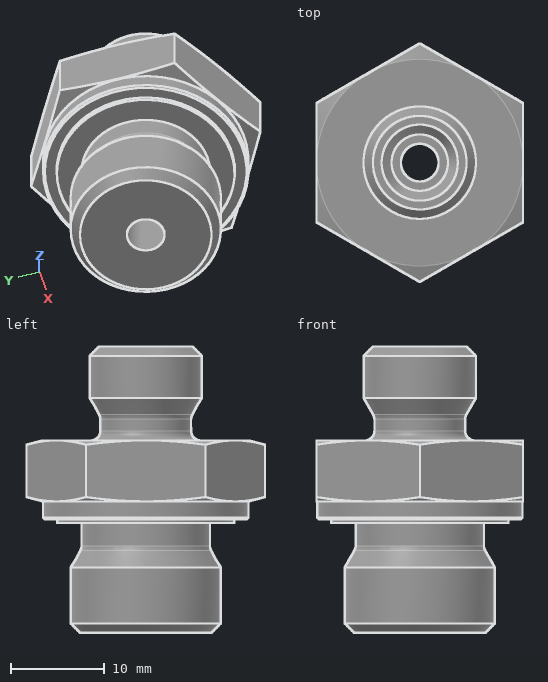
import cadquery as cq
import math

TOTAL_HEIGHT = 30.5
HEX_BOTTOM = 14.0
HEX_TOP = 20.5
COLLAR_BOTTOM = 12.08
SEAL_BOTTOM = 11.68
STUD_SHOULDER_Z = 6.98
PIPE_SHOULDER_Z = 25.0

STUD_RADIUS = 16.0 / 2
STUD_NECK_RADIUS = 13.7 / 2
PIPE_RADIUS = 12.0 / 2
PIPE_NECK_RADIUS = 9.7 / 2
COLLAR_RADIUS = 21.9 / 2
BORE_RADIUS = 4.0 / 2
CONE_MOUTH_RADIUS = 8.1 / 2
CONE_FLOOR_RADIUS = 6.0 / 2

HEX_FLATS = 22.02
HEX_CORNER_RADIUS = HEX_FLATS / 2 / math.cos(math.radians(30))
HEX_FACE_RADIUS = HEX_FLATS / 2
HEX_CHAMFER_ANGLE = 15.0

THREAD_CHAMFER = 1.0
COLLAR_CHAMFER = 0.2
NECK_FILLET = 1.0
SELECTION_MARGIN = 0.03
UNDERCUT_ANGLE = 30.0
SOCKET_ANGLE = 12.0

GROOVE_DEPTH = 1.3
GROOVE_RADIUS = 19.0 / 2
SEAL_OUTER_RADIUS = 18.9 / 2
SEAL_INNER_RADIUS = 13.8 / 2
GROOVE_FLOOR_Z = COLLAR_BOTTOM + GROOVE_DEPTH


def disc(radius, bottom, top):
    return cq.Workplane("XY").workplane(offset=bottom).circle(radius).extrude(top - bottom)


def tube(outer_radius, inner_radius, bottom, top):
    return disc(outer_radius, bottom, top).cut(disc(inner_radius, bottom, top))


def turned(points):
    """Revolve a closed (radius, height) outline about the Z axis."""
    return cq.Workplane("XZ").polyline(points).close().revolve(360, (0, 0, 0), (0, 1, 0))


def threaded_end(end_z, shoulder_z, root_z, radius, neck_radius):
    """Chamfered cylinder whose conical run-out blends into a neck reaching root_z."""
    inward = math.copysign(1, root_z - end_z)
    runout = (radius - neck_radius) / math.tan(math.radians(UNDERCUT_ANGLE))
    neck_z = shoulder_z + inward * runout
    end = turned([
        (0, end_z),
        (radius - THREAD_CHAMFER, end_z),
        (radius, end_z + inward * THREAD_CHAMFER),
        (radius, shoulder_z),
        (neck_radius, neck_z),
        (neck_radius, root_z),
        (0, root_z),
    ])
    neck_edge = cq.selectors.BoxSelector(
        (-radius, -radius, neck_z - SELECTION_MARGIN),
        (radius, radius, neck_z + SELECTION_MARGIN),
        boundingbox=True,
    )
    return end.edges(neck_edge).fillet(NECK_FILLET)


def make_hexagon():
    """Hexagon with flats facing +X and -X, its corners chamfered at both ends."""
    prism = (
        cq.Workplane("XY").workplane(offset=HEX_BOTTOM)
        .transformed(rotate=(0, 0, 30))
        .polygon(6, 2 * HEX_CORNER_RADIUS)
        .extrude(HEX_TOP - HEX_BOTTOM)
    )
    drop = (HEX_CORNER_RADIUS - HEX_FACE_RADIUS) * math.tan(math.radians(HEX_CHAMFER_ANGLE))
    envelope = turned([
        (0, HEX_BOTTOM),
        (HEX_FACE_RADIUS, HEX_BOTTOM),
        (HEX_CORNER_RADIUS, HEX_BOTTOM + drop),
        (HEX_CORNER_RADIUS, HEX_TOP - drop),
        (HEX_FACE_RADIUS, HEX_TOP),
        (0, HEX_TOP),
    ])
    return prism.intersect(envelope)


def make_collar():
    return disc(COLLAR_RADIUS, COLLAR_BOTTOM, HEX_BOTTOM).faces("<Z").edges().chamfer(COLLAR_CHAMFER)


def make_root_fillet():
    """Concave ring that blends the pipe neck into the top of the hexagon."""
    outer = PIPE_NECK_RADIUS + NECK_FILLET
    top = HEX_TOP + NECK_FILLET
    offset = NECK_FILLET * (1 - math.cos(math.radians(45)))
    return (
        cq.Workplane("XZ")
        .moveTo(0, HEX_TOP)
        .lineTo(outer, HEX_TOP)
        .threePointArc((PIPE_NECK_RADIUS + offset, HEX_TOP + offset), (PIPE_NECK_RADIUS, top))
        .lineTo(0, top)
        .close()
        .revolve(360, (0, 0, 0), (0, 1, 0))
    )


def make_tube_socket():
    depth = (CONE_MOUTH_RADIUS - CONE_FLOOR_RADIUS) / math.tan(math.radians(SOCKET_ANGLE))
    return turned([
        (0, TOTAL_HEIGHT),
        (CONE_MOUTH_RADIUS, TOTAL_HEIGHT),
        (CONE_FLOOR_RADIUS, TOTAL_HEIGHT - depth),
        (0, TOTAL_HEIGHT - depth),
    ])


def make_fitting():
    stud_end = threaded_end(0, STUD_SHOULDER_Z, HEX_BOTTOM, STUD_RADIUS, STUD_NECK_RADIUS)
    pipe_end = threaded_end(TOTAL_HEIGHT, PIPE_SHOULDER_Z, HEX_TOP, PIPE_RADIUS, PIPE_NECK_RADIUS)
    groove = tube(GROOVE_RADIUS, STUD_NECK_RADIUS, COLLAR_BOTTOM, GROOVE_FLOOR_Z)
    return (
        make_hexagon()
        .union(make_collar().cut(groove))
        .union(stud_end)
        .union(pipe_end)
        .union(make_root_fillet())
        .cut(make_tube_socket())
        .cut(disc(BORE_RADIUS, 0, TOTAL_HEIGHT))
    )


def make_seal_ring():
    """Seal seated on the groove floor and standing slightly proud of the collar."""
    return tube(SEAL_OUTER_RADIUS, SEAL_INNER_RADIUS, SEAL_BOTTOM, GROOVE_FLOOR_Z)


fitting = make_fitting()
seal_ring = make_seal_ring()

result = cq.Compound.makeCompound([fitting.solids().val(), seal_ring.solids().val()])